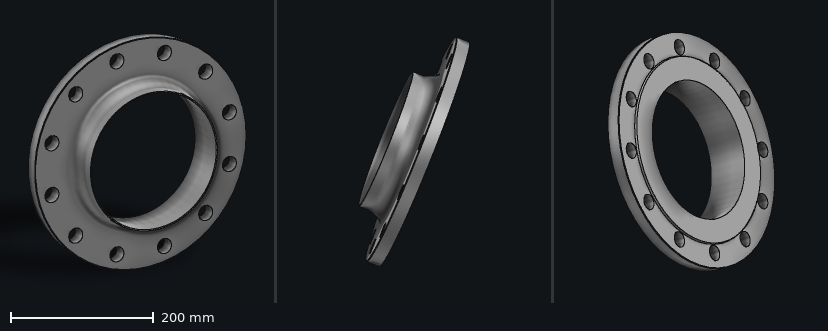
import cadquery as cq

length = 62.0
bore_diameter = 200.0

face_diameter = 268.0
face_height = 3.0
face_edge_flare = 1.25

flange_diameter = 340.0
flange_thickness = 24.0
flange_chamfer = 1.0

bolt_count = 12
bolt_hole_diameter = 22.0
bolt_circle_diameter = 295.0

neck_diameter = 204.0
neck_length = 16.0
hub_diameter = 220.0
hub_foot_radius = 10.0
neck_blend_radius = 8.0
hub_taper_end = length - neck_length


def flange_body():
    """Revolve the half section (X along the axis, Y as radius) about the X axis."""
    bore_radius = bore_diameter / 2
    face_radius = face_diameter / 2
    flange_radius = flange_diameter / 2
    neck_radius = neck_diameter / 2
    section = (
        cq.Workplane("XY")
        .moveTo(0, bore_radius)
        .lineTo(0, face_radius)
        .lineTo(face_height, face_radius + face_edge_flare)
        .lineTo(face_height, flange_radius - flange_chamfer)
        .lineTo(face_height + flange_chamfer, flange_radius)
        .lineTo(flange_thickness - flange_chamfer, flange_radius)
        .lineTo(flange_thickness, flange_radius - flange_chamfer)
        .lineTo(flange_thickness, hub_diameter / 2)
        .lineTo(hub_taper_end, neck_radius)
        .lineTo(length, neck_radius)
        .lineTo(length, bore_radius)
        .close()
    )
    return section.revolve(360, (0, 0, 0), (1, 0, 0))


def round_circle_edge(body, position, diameter, radius):
    """Fillet the circular edge of the given diameter at the given place along the axis."""
    margin = 0.1
    reach = diameter / 2 + margin
    edge_box = cq.selectors.BoxSelector(
        (position - margin, -reach, -reach),
        (position + margin, reach, reach),
        boundingbox=True,
    )
    return body.edges(edge_box).fillet(radius)


def bolt_holes():
    """Cutters for the bolt holes, running through the flange plate only."""
    return (
        cq.Workplane("YZ")
        .polarArray(bolt_circle_diameter / 2, 180 / bolt_count, 360, bolt_count)
        .circle(bolt_hole_diameter / 2)
        .extrude(flange_thickness)
    )


body = flange_body()
body = round_circle_edge(body, flange_thickness, hub_diameter, hub_foot_radius)
body = round_circle_edge(body, hub_taper_end, neck_diameter, neck_blend_radius)
result = body.cut(bolt_holes())